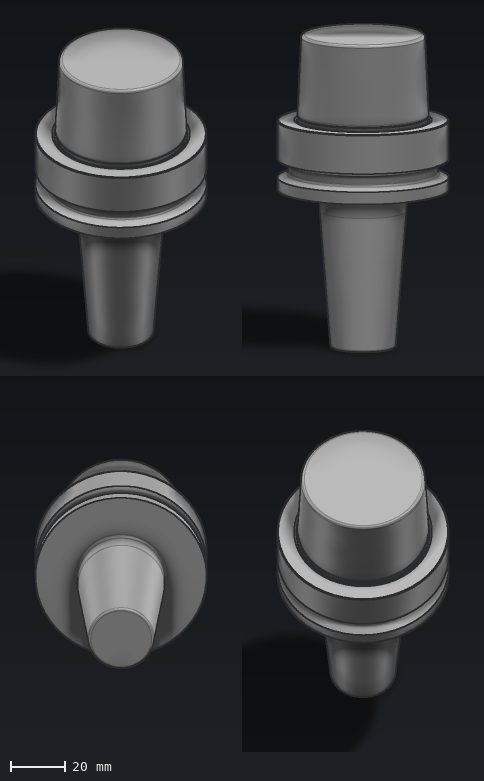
import cadquery as cq
import math


taper_height = 32.0
nose_length = 84.9

flange_diameter = 63.0
flange_radius = flange_diameter / 2
flange_height = 26.0
flange_edge_chamfer = 0.29
groove_center_depth = 18.0
groove_opening = 6.8
groove_floor_radius = 27.6
groove_wall_angle = 22
groove_fillet = 0.8

taper_top_radius = 22.8
taper_root_radius = 24.2
taper_top_fillet = 1.2
taper_root_height = 2.2
relief_neck_radius = 23.8
root_band_bottom = 1.5
relief_neck_height = 1.0
relief_outer_radius = 25.4
relief_depth = 0.5
relief_floor_radius = 24.5

nose_radius = 16.0
nose_tip_radius = 12.0
nose_straight_end = 33.9
nose_root_fillet = 1.0
nose_tip_fillet = 0.9

groove_depth = flange_radius - groove_floor_radius
groove_wall_height = groove_depth * math.tan(math.radians(groove_wall_angle))
groove_top = -groove_center_depth + groove_opening / 2
groove_bottom = -groove_center_depth - groove_opening / 2


def revolve_profile(points):
    """Revolve a closed (radius, height) outline about the Z axis."""
    return cq.Workplane("XZ").polyline(points).close().revolve(360, (0, 0, 0), (0, 1, 0))


def circular_edges(body, radius, height):
    """Select the edges of the given radius and height."""
    tolerance = 0.01

    def matches(edge):
        return (
            edge.geomType() == "CIRCLE"
            and abs(edge.radius() - radius) < tolerance
            and abs(edge.Center().z - height) < tolerance
        )

    return body.newObject([edge for edge in body.edges().vals() if matches(edge)])


outline = [
    (0, taper_height),
    (taper_top_radius, taper_height),
    (taper_root_radius, taper_root_height),
    (taper_root_radius, root_band_bottom),
    (relief_neck_radius, relief_neck_height),
    (relief_neck_radius, -relief_depth),
    (relief_floor_radius, -relief_depth),
    (relief_outer_radius, 0),
    (flange_radius, 0),
    (flange_radius, groove_top),
    (groove_floor_radius, groove_top - groove_wall_height),
    (groove_floor_radius, groove_bottom + groove_wall_height),
    (flange_radius, groove_bottom),
    (flange_radius, -flange_height),
    (nose_radius, -flange_height),
    (nose_radius, -nose_straight_end),
    (nose_tip_radius, -nose_length),
    (0, -nose_length),
]
body = revolve_profile(outline)

body = circular_edges(body, taper_top_radius, taper_height).fillet(taper_top_fillet)
body = circular_edges(body, flange_radius, 0).chamfer(flange_edge_chamfer)
for corner_height in (groove_top - groove_wall_height, groove_bottom + groove_wall_height):
    body = circular_edges(body, groove_floor_radius, corner_height).fillet(groove_fillet)
body = circular_edges(body, nose_radius, -flange_height).fillet(nose_root_fillet)
body = circular_edges(body, nose_tip_radius, -nose_length).fillet(nose_tip_fillet)

result = body